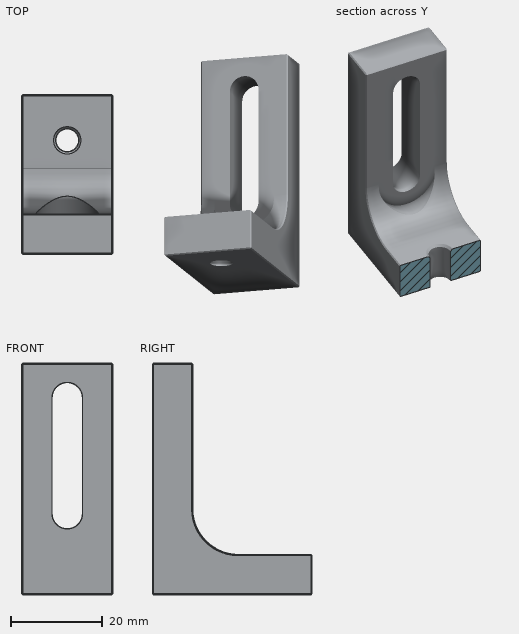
import cadquery as cq

width = 20.0
depth = 35.0
height = 50.8
thickness = 8.85
inner_radius = 10.0
edge_chamfer = 0.25

slot_width = 6.6
slot_bottom = 14.5
slot_top = 46.55
clearance_width = 13.7

hole_diameter = 5.0
countersink_diameter = 6.0
hole_y = 25.0
countersink_half_angle = 45

slot_arc_spacing = slot_top - slot_bottom - slot_width
slot_center_z = (slot_top + slot_bottom) / 2


def make_body():
    """L-shaped body with a rounded inside corner and chamfered edges."""
    profile = [
        (0, 0),
        (depth, 0),
        (depth, thickness),
        (thickness, thickness),
        (thickness, height),
        (0, height),
    ]
    inside_corner = cq.selectors.NearestToPointSelector((0, thickness, thickness))
    body = cq.Workplane("YZ").polyline(profile).close().extrude(width / 2, both=True)
    body = body.edges("|X").edges(inside_corner).fillet(inner_radius)
    sharp_edges = body.faces("<X or >X or <Y or >Y or <Z or >Z").edges()
    return sharp_edges.chamfer(edge_chamfer)


def slot_cutter(cut_width, start_y, end_y):
    """Upright obround whose end arcs share the centres of the main slot."""
    return (
        cq.Workplane("XZ", origin=(0, start_y, slot_center_z))
        .slot2D(slot_arc_spacing + cut_width, cut_width, 90)
        .extrude(start_y - end_y)
    )


foot_hole = (
    cq.Workplane("XY", origin=(0, hole_y, 0)).circle(hole_diameter / 2).extrude(thickness)
)
countersink_depth = (countersink_diameter - hole_diameter) / 2
countersink = (
    cq.Workplane("XY", origin=(0, hole_y, thickness))
    .circle(countersink_diameter / 2)
    .extrude(-countersink_depth, taper=countersink_half_angle)
)
through_slot = slot_cutter(slot_width, 0, thickness)
washer_clearance = slot_cutter(clearance_width, thickness, depth)

result = make_body().cut(through_slot).cut(washer_clearance).cut(foot_hole).cut(countersink)